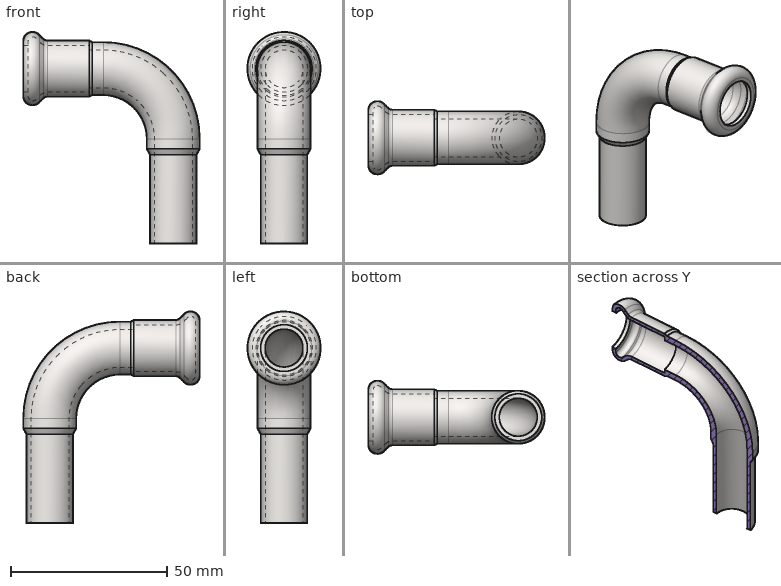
import cadquery as cq
import math

total_length = 56.5
total_height = 67.75
bead_diameter = 23.5
socket_diameter = 18.0
bend_diameter = 17.0
spigot_diameter = 15.0
socket_bore_diameter = 15.0
flow_bore_diameter = 12.1

socket_end = 21.1
socket_taper_end = 22.1
bend_start = 25.55

spigot_top = 28.5
collar_bottom = 30.3

bead_radius = 3.0
neck_fillet = 1.95

socket_radius = socket_diameter / 2
socket_bore_radius = socket_bore_diameter / 2
bend_tube_radius = bend_diameter / 2
spigot_radius = spigot_diameter / 2
wall = socket_radius - socket_bore_radius
socket_axis_z = total_height - bead_diameter / 2
spigot_axis_x = total_length - bend_tube_radius
bend_radius = spigot_axis_x - bend_start
bend_end_z = socket_axis_z - bend_radius
bead_center_r = bead_diameter / 2 - bead_radius
neck_center_r = socket_radius + neck_fillet
diagonal = math.sqrt(0.5)
neck_center_x = (
    bead_radius + (bead_radius + neck_fillet) / diagonal - (neck_center_r - bead_center_r)
)


def bead_profile(bead_r, neck_r, face_x, mouth_radius, end_x):
    """Half section (x, radius) of a bead, 45 degree cone, neck fillet and cylinder."""
    neck_cylinder_radius = neck_center_r - neck_r
    bead_arc_angle = math.radians(112.5)
    neck_arc_angle = math.radians(67.5)
    return (
        cq.Workplane("XY")
        .moveTo(face_x, 0)
        .lineTo(face_x, mouth_radius)
        .threePointArc(
            (
                bead_radius + bead_r * math.cos(bead_arc_angle),
                bead_center_r + bead_r * math.sin(bead_arc_angle),
            ),
            (bead_radius + bead_r * diagonal, bead_center_r + bead_r * diagonal),
        )
        .lineTo(neck_center_x - neck_r * diagonal, neck_center_r - neck_r * diagonal)
        .threePointArc(
            (
                neck_center_x - neck_r * math.cos(neck_arc_angle),
                neck_center_r - neck_r * math.sin(neck_arc_angle),
            ),
            (neck_center_x, neck_cylinder_radius),
        )
        .lineTo(end_x, neck_cylinder_radius)
    )


def revolve_socket(profile):
    """Close a half section down to the axis and revolve it about the socket axis."""
    return profile.close().revolve(360, (0, 0, 0), (1, 0, 0)).translate((0, 0, socket_axis_z))


def elbow(radius, start_x):
    """Round rod along the socket axis, around the bend and down to the spigot end."""
    path = (
        cq.Workplane("XZ")
        .moveTo(start_x, socket_axis_z)
        .lineTo(bend_start, socket_axis_z)
        .radiusArc((spigot_axis_x, bend_end_z), bend_radius)
        .lineTo(spigot_axis_x, 0)
    )
    return cq.Workplane("YZ", origin=(start_x, 0, socket_axis_z)).circle(radius).sweep(path)


def bend():
    """Solid quarter bend between the socket and the collar."""
    path = (
        cq.Workplane("XZ")
        .moveTo(bend_start, socket_axis_z)
        .radiusArc((spigot_axis_x, bend_end_z), bend_radius)
    )
    section = cq.Workplane("YZ", origin=(bend_start, 0, socket_axis_z)).circle(bend_tube_radius)
    return section.sweep(path)


def socket():
    """Outside of the socket: bead, neck, cylinder and the step down to the bend."""
    profile = (
        bead_profile(bead_radius, neck_fillet, 0, bead_center_r, socket_end)
        .lineTo(socket_taper_end, bend_tube_radius)
        .lineTo(bend_start, bend_tube_radius)
        .lineTo(bend_start, 0)
    )
    return revolve_socket(profile)


def socket_cavity():
    """Inside of the socket: seal groove one wall thickness inside the bead, and the bore."""
    groove_radius = bead_radius - wall
    groove = revolve_socket(
        bead_profile(groove_radius, neck_fillet + wall, wall, bead_center_r, socket_end)
        .lineTo(socket_end, 0)
    )
    mouth = cq.Workplane("YZ", origin=(0, 0, socket_axis_z)).circle(socket_bore_radius).extrude(socket_end)
    return groove.union(mouth)


def spigot():
    """Collar below the bend, tapering down to the plain spigot."""
    return (
        cq.Workplane("XZ")
        .lineTo(spigot_radius, 0)
        .lineTo(spigot_radius, spigot_top)
        .lineTo(bend_tube_radius, collar_bottom)
        .lineTo(bend_tube_radius, bend_end_z)
        .lineTo(0, bend_end_z)
        .close()
        .revolve(360, (0, 0, 0), (0, 1, 0))
        .translate((spigot_axis_x, 0, 0))
    )


body = socket().union(bend()).union(spigot())
result = body.cut(socket_cavity()).cut(elbow(flow_bore_diameter / 2, socket_end))